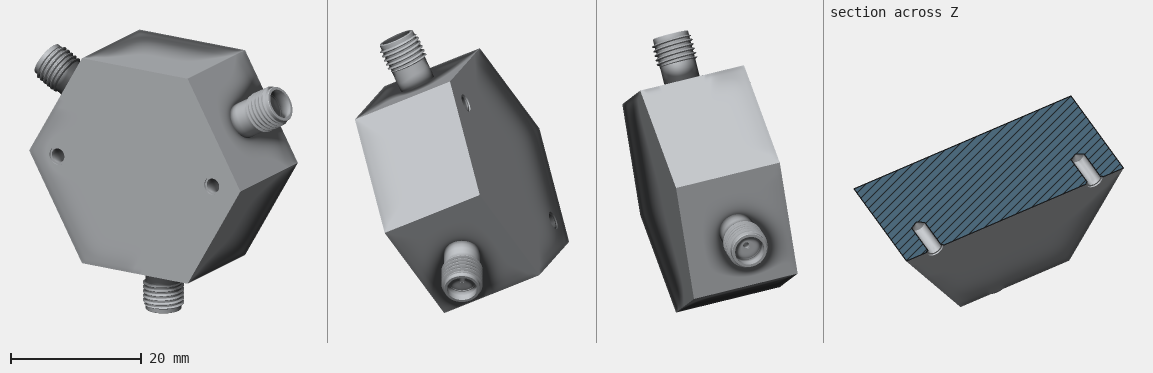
import cadquery as cq
import math

side_count = 6
across_flats = 33.0
housing_depth = 16.55
cover_thickness = 1.3
flat_distance = across_flats / 2
across_corners = across_flats / math.cos(math.pi / side_count)
front_face = -housing_depth / 2

connector_length = 7.85
barrel_diameter = 5.55
barrel_chamfer = 0.07
socket_diameter = 4.6
socket_depth = 1.9
socket_floor_diameter = 4.35
socket_floor_depth = 2.05
contact_diameter = 1.2
contact_depth = 2.15
contact_bore_diameter = 0.95
contact_bore_depth = 4.05
connector_angles = (30, 150, 270)

thread_diameter = 6.35
thread_start = 3.35
thread_end = 7.2
thread_lead = 0.22
helix_start = 2.7
helix_length = 4.95
helix_turns = 7
thread_pitch = helix_length / helix_turns
thread_base_width = 0.5
thread_ridge_height = 0.55
thread_embed = 0.067

hole_spacing = 27.95
hole_diameter = 2.25
hole_depth = 5.4
recess_diameter = 2.85
recess_depth = 0.22
drill_point_angle = 118


def make_hexagon_slab(back_face, depth):
    """Hexagonal prism with horizontal top and bottom flats, reaching forward from its back face."""
    return (
        cq.Workplane("XZ", origin=(0, back_face, 0))
        .polygon(side_count, across_corners)
        .extrude(depth)
    )


def make_housing():
    """Hexagonal body closed at the back by a cover; the joint stays as an edge."""
    cover = make_hexagon_slab(housing_depth / 2, cover_thickness)
    body = make_hexagon_slab(housing_depth / 2 - cover_thickness, housing_depth - cover_thickness)
    return body.union(cover, clean=False)


def make_thread():
    """Helical ridge around the Z axis, slightly sunk into the barrel and tapered at both ends."""
    root_radius = barrel_diameter / 2 - thread_embed
    helix = cq.Wire.makeHelix(thread_pitch, helix_length, root_radius)
    profile = cq.Workplane("XZ").polyline([
        (root_radius, -thread_base_width / 2),
        (root_radius + thread_ridge_height, 0),
        (root_radius, thread_base_width / 2),
    ]).close()
    ridge = profile.sweep(cq.Workplane(helix), isFrenet=True)
    ridge = ridge.rotate((0, 0, 0), (0, 0, 1), 180).translate((0, 0, helix_start))
    sleeve = (
        cq.Workplane("XY", origin=(0, 0, thread_start))
        .circle(thread_diameter / 2)
        .extrude(thread_end - thread_start)
    )
    thread_height = (thread_diameter - barrel_diameter) / 2
    tapered_sleeve = sleeve.faces("|Z").chamfer(thread_lead, thread_height)
    return ridge.intersect(sleeve).intersect(tapered_sleeve)


def make_end_bore(diameter, depth):
    """Round bore sunk from the free end of a connector, as a solid to cut away."""
    return (
        cq.Workplane("XY", origin=(0, 0, connector_length))
        .circle(diameter / 2)
        .extrude(-depth)
    )


def make_connector():
    """Threaded barrel along +Z, standing on the Z = 0 plane, with a stepped socket."""
    connector = cq.Workplane("XY").circle(barrel_diameter / 2).extrude(connector_length)
    connector = connector.faces(">Z").chamfer(barrel_chamfer)
    connector = connector.union(make_thread())
    socket_steps = (
        (socket_diameter, socket_depth),
        (socket_floor_diameter, socket_floor_depth),
        (contact_diameter, contact_depth),
        (contact_bore_diameter, contact_bore_depth),
    )
    for diameter, depth in socket_steps:
        connector = connector.cut(make_end_bore(diameter, depth))
    return connector


def make_mounting_hole(x):
    """Recessed blind hole with a drill point, as a solid to cut away."""
    hole_radius = hole_diameter / 2
    recess_radius = recess_diameter / 2
    point_length = hole_radius / math.tan(math.radians(drill_point_angle / 2))
    return (
        cq.Workplane("XY")
        .moveTo(0, 0)
        .lineTo(recess_radius, 0)
        .lineTo(recess_radius, recess_depth)
        .lineTo(hole_radius, recess_depth)
        .lineTo(hole_radius, hole_depth)
        .lineTo(0, hole_depth + point_length)
        .close()
        .revolve(360, (0, 0, 0), (0, 1, 0))
        .translate((x, front_face, 0))
    )


result = make_housing()

connector = make_connector().translate((0, 0, flat_distance))
for angle in connector_angles:
    result = result.union(connector.rotate((0, 0, 0), (0, 1, 0), 90 - angle), clean=False)

for side in (-1, 1):
    result = result.cut(make_mounting_hole(side * hole_spacing / 2), clean=False)